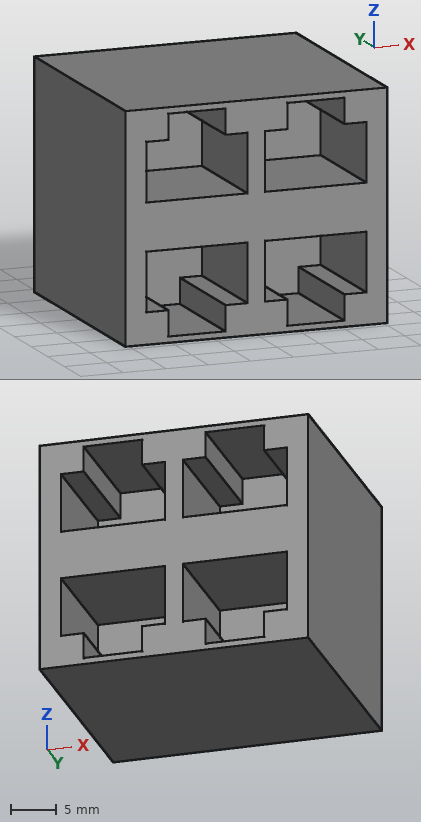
import cadquery as cq

width = 30.75
depth = 27.6
height = 26.53

socket_width = 11.9
socket_height = 6.82
key_width = 6.7
key_height = 2.95
socket_spacing = 13.95
row_gap = 5.53
socket_depth = 13.83

front_y = -depth / 2


def socket_cutter(center_x, direction):
    """Socket with its key pointing up (direction 1) or down (direction -1)."""
    base_z = direction * row_gap / 2
    shoulder_z = base_z + direction * socket_height
    key_z = shoulder_z + direction * key_height
    half_socket = socket_width / 2
    half_key = key_width / 2
    outline = [
        (center_x - half_socket, base_z),
        (center_x + half_socket, base_z),
        (center_x + half_socket, shoulder_z),
        (center_x + half_key, shoulder_z),
        (center_x + half_key, key_z),
        (center_x - half_key, key_z),
        (center_x - half_key, shoulder_z),
        (center_x - half_socket, shoulder_z),
    ]
    return (
        cq.Workplane("XZ", origin=(0, front_y, 0))
        .polyline(outline)
        .close()
        .extrude(-socket_depth)
    )


result = cq.Workplane("XY").box(width, depth, height)
for side in (-1, 1):
    for direction in (-1, 1):
        result = result.cut(socket_cutter(side * socket_spacing / 2, direction))